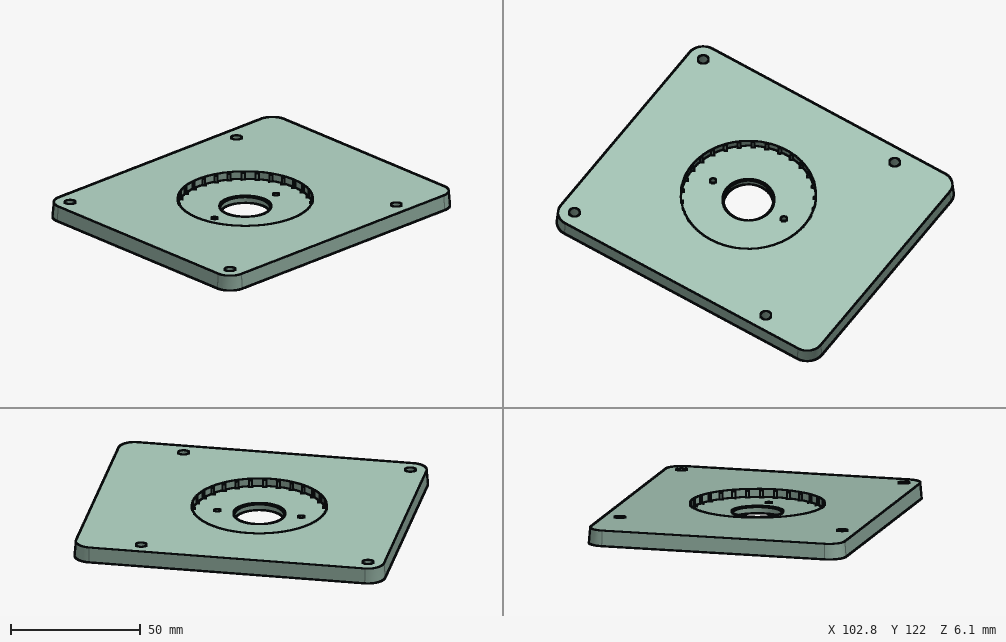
import cadquery as cq

plate_width = 102.8
plate_length = 122.0
plate_thickness = 6.1
corner_radius = 6.8
side_draft_angle = 5.0

mount_hole_diameter = 4.1
mount_hole_spacing = 89.0
mount_hole_x = mount_hole_spacing / 2
mount_hole_front_y = -plate_length / 2 + corner_radius
mount_hole_back_y = mount_hole_front_y + mount_hole_spacing

pocket_y = -3.2
pocket_diameter = 52.2
floor_thickness = 2.9
pocket_depth = plate_thickness - floor_thickness

bore_diameter = 19.1
bore_chamfer = 0.5

screw_hole_diameter = 2.4
screw_hole_offset = 16.5

ring_hole_diameter = 1.3
ring_hole_count = 30
ring_radius = 25.9
ring_hole_height = 5.4


def make_plate():
    return (
        cq.Workplane("XY")
        .sketch()
        .rect(plate_width, plate_length)
        .vertices()
        .fillet(corner_radius)
        .finalize()
        .extrude(plate_thickness, taper=side_draft_angle)
    )


def cylinder(diameter, bottom, height):
    """Upright cylinder on the pocket axis."""
    return cq.Workplane("XY", origin=(0, pocket_y, bottom)).circle(diameter / 2).extrude(height)


def make_mount_holes():
    centers = [
        (x, y)
        for x in (-mount_hole_x, mount_hole_x)
        for y in (mount_hole_front_y, mount_hole_back_y)
    ]
    return cq.Workplane("XY").pushPoints(centers).circle(mount_hole_diameter / 2).extrude(plate_thickness)


def make_bore():
    chamfer_bottom = floor_thickness - bore_chamfer
    countersink = (
        cq.Workplane("XY", origin=(0, pocket_y, chamfer_bottom))
        .circle(bore_diameter / 2)
        .workplane(offset=bore_chamfer)
        .circle(bore_diameter / 2 + bore_chamfer)
        .loft()
    )
    return cylinder(bore_diameter, 0, floor_thickness).union(countersink)


def make_screw_holes():
    return (
        cq.Workplane("XY", origin=(0, pocket_y, 0))
        .pushPoints([(0, -screw_hole_offset), (0, screw_hole_offset)])
        .circle(screw_hole_diameter / 2)
        .extrude(floor_thickness)
    )


def make_ring_holes():
    return (
        cq.Workplane("XY", origin=(0, pocket_y, 0))
        .polarArray(ring_radius, 90, 360, ring_hole_count)
        .circle(ring_hole_diameter / 2)
        .extrude(ring_hole_height)
    )


result = (
    make_plate()
    .cut(cylinder(pocket_diameter, floor_thickness, pocket_depth))
    .cut(make_bore())
    .cut(make_screw_holes())
    .cut(make_ring_holes())
    .cut(make_mount_holes())
)